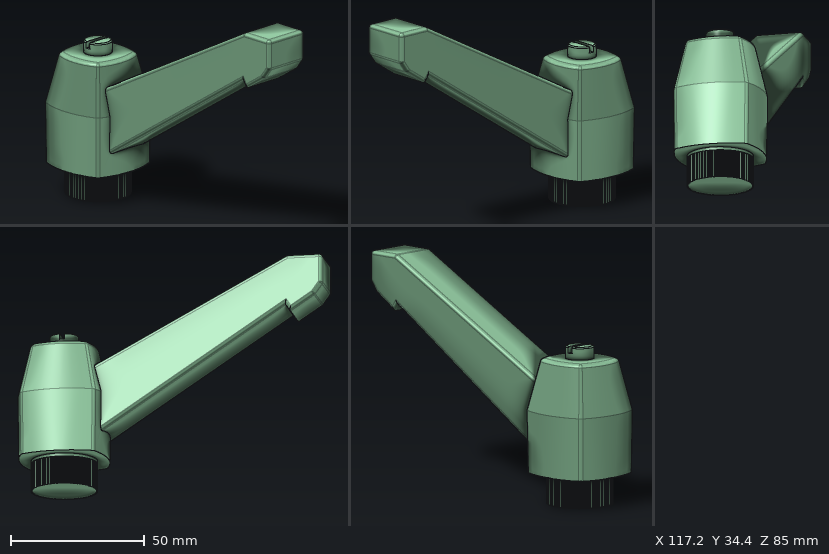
import cadquery as cq
import math

insert_top = 10.4
hub_bottom = 11.6
hub_shoulder = 35.4
hub_top = 55.2
screw_top = 60.0
handle_top = 85.0

hub_half_width = 17.2
hub_corner = 14.1
hub_corner_radius = 2.2
hub_bottom_scale = 0.98
hub_top_scale = 0.73
hub_top_fillet = 1.8

insert_diameter = 25.0
tooth_count = 60
tooth_depth = 0.4

screw_diameter = 10.8
screw_chamfer = 0.5
slot_width = 1.9
slot_depth = 2.5

handle_width = 19.0
handle_end = 100.0
handle_root = 7.0
handle_flat_length = 13.5
handle_top_slope = 27.9
handle_bottom_slope = 33.0
handle_fillet = 1.4
nose_height = 11.4
nose_chamfer_run = 3.0
nose_chamfer_drop = 4.2
lip_length = 11.1
lip_depth = 3.2


def hub_section(scale, height):
    """Bulged square outline with rounded corners, scaled about the hub axis."""
    side = hub_half_width * scale
    corner = hub_corner * scale
    outline = (
        cq.Workplane("XY")
        .moveTo(corner, -corner)
        .threePointArc((side, 0), (corner, corner))
        .threePointArc((0, side), (-corner, corner))
        .threePointArc((-side, 0), (-corner, -corner))
        .threePointArc((0, -side), (corner, -corner))
        .close()
        .extrude(1.2)
        .edges("|Z")
        .fillet(hub_corner_radius * scale)
    )
    return outline.faces("<Z").wires().val().translate(cq.Vector(0, 0, height))


def make_hub():
    shoulder = hub_section(1.0, hub_shoulder)
    lower = cq.Solid.makeLoft([hub_section(hub_bottom_scale, hub_bottom), shoulder], True)
    upper = cq.Solid.makeLoft([shoulder, hub_section(hub_top_scale, hub_top)], True)
    hub = cq.Workplane(lower).union(cq.Workplane(upper))
    return hub.faces(">Z").edges().fillet(hub_top_fillet)


def make_handle():
    top_angle = math.radians(handle_top_slope)
    bottom_angle = math.radians(handle_bottom_slope)

    flat_start = (handle_end - handle_flat_length, handle_top)
    root_top = handle_top - (flat_start[0] - handle_root) * math.tan(top_angle)
    nose_low = (handle_end, handle_top - nose_height)
    chamfer_low = (handle_end - nose_chamfer_run, nose_low[1] - nose_chamfer_drop)

    lip_tip = (
        chamfer_low[0] - lip_length * math.cos(bottom_angle),
        chamfer_low[1] - lip_length * math.sin(bottom_angle),
    )
    lip_root = (
        lip_tip[0] - lip_depth * math.sin(bottom_angle),
        lip_tip[1] + lip_depth * math.cos(bottom_angle),
    )
    root_bottom = lip_root[1] - (lip_root[0] - handle_root) * math.tan(bottom_angle)

    outline = [
        (handle_root, root_bottom),
        (handle_root, root_top),
        flat_start,
        (handle_end, handle_top),
        nose_low,
        chamfer_low,
        lip_tip,
        lip_root,
    ]
    handle = cq.Workplane("XZ").polyline(outline).close().extrude(handle_width / 2, both=True)

    for x, z in [flat_start, (handle_end, handle_top), nose_low, chamfer_low]:
        corner = cq.selectors.NearestToPointSelector((x, 0, z))
        handle = handle.edges("|Y").edges(corner).fillet(handle_fillet)
    return handle.faces("<Y or >Y").edges().fillet(handle_fillet)


def make_insert():
    """Cylinder with flat-topped splines, and a plain neck of the same diameter above it."""
    tip_radius = insert_diameter / 2
    root_radius = tip_radius - tooth_depth
    tooth_radii = [tip_radius, tip_radius, root_radius, root_radius]
    corner_count = tooth_count * len(tooth_radii)
    points = []
    for corner in range(corner_count):
        angle = 2 * math.pi * corner / corner_count
        radius = tooth_radii[corner % len(tooth_radii)]
        points.append((radius * math.cos(angle), radius * math.sin(angle)))
    splines = cq.Workplane("XY").polyline(points).close().extrude(insert_top)
    neck_height = hub_bottom - insert_top
    neck = cq.Workplane("XY").workplane(offset=insert_top).circle(tip_radius).extrude(neck_height)
    return splines.union(neck)


def make_screw():
    height = screw_top - hub_top
    screw = (
        cq.Workplane("XY")
        .workplane(offset=hub_top)
        .circle(screw_diameter / 2)
        .extrude(height)
        .faces(">Z")
        .edges()
        .chamfer(screw_chamfer)
    )
    slot = (
        cq.Workplane("XY")
        .workplane(offset=screw_top - slot_depth)
        .rect(slot_width, 2 * screw_diameter)
        .extrude(2 * slot_depth)
    )
    return screw.cut(slot)


result = make_hub().union(make_handle()).union(make_insert()).union(make_screw())